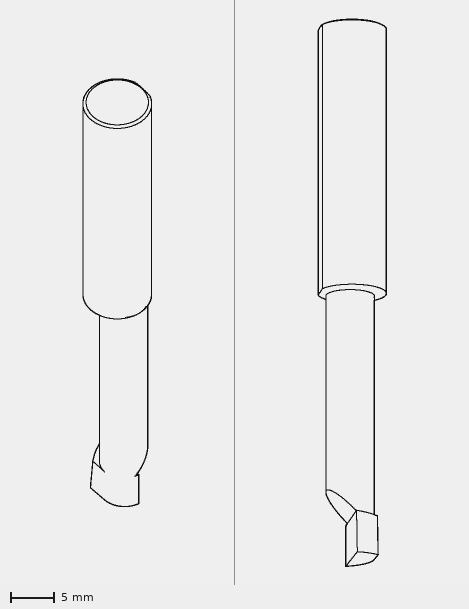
import cadquery as cq
import math

total_length = 63.5
shank_diameter = 7.9375
shank_length = total_length / 2
shank_flat_y = 3.71
chamfer_radial = 0.38
chamfer_axial = 0.2

neck_diameter = 5.6

rake_face_y = 0.0
ramp_zero_z = 5.58
ramp_angle = 45.0

head_height = 5.08
tip_x = -3.37
heel_x = -2.29
heel_y = -1.9
flat_start_x = -1.50
side_lean = 0.48
relief_bulge = 0.08

end_relief_x = 2.0
end_relief_y = 5.0

shank_radius = shank_diameter / 2
neck_radius = neck_diameter / 2
neck_center_x = shank_radius - neck_radius
shoulder_z = total_length - shank_length
cut_margin = 10.0


def make_shank():
    profile = [
        (0, shoulder_z),
        (shank_radius, shoulder_z),
        (shank_radius, total_length - chamfer_axial),
        (shank_radius - chamfer_radial, total_length),
        (0, total_length),
    ]
    bar = cq.Workplane("XZ").polyline(profile).close().revolve(360, (0, 0, 0), (0, 1, 0))
    beyond_flat = (
        cq.Workplane("XY")
        .workplane(offset=shoulder_z)
        .center(0, shank_flat_y)
        .rect(shank_diameter, cut_margin)
        .extrude(shank_length)
        .translate((0, cut_margin / 2, 0))
    )
    return bar.cut(beyond_flat)


def make_neck():
    bar = cq.Workplane("XY").center(neck_center_x, 0).circle(neck_radius).extrude(shoulder_z)
    ramp_slope = math.tan(math.radians(ramp_angle))
    ramp_end_y = rake_face_y - (ramp_zero_z - head_height) / ramp_slope
    ramp_top_z = ramp_zero_z + cut_margin * ramp_slope
    clearance = (
        cq.Workplane("YZ")
        .moveTo(rake_face_y, 0)
        .lineTo(rake_face_y, head_height)
        .lineTo(ramp_end_y, head_height)
        .lineTo(rake_face_y + cut_margin, ramp_top_z)
        .lineTo(rake_face_y + cut_margin, 0)
        .close()
        .extrude(cut_margin, both=True)
    )
    return bar.cut(clearance)


def head_outline(plane, lean):
    """Head section, shifted in X by lean except where it joins the neck."""
    chord_x = heel_x - tip_x
    chord_y = heel_y - rake_face_y
    chord = math.hypot(chord_x, chord_y)
    bow_x = (tip_x + heel_x) / 2 + relief_bulge * chord_y / chord
    bow_y = (rake_face_y + heel_y) / 2 - relief_bulge * chord_x / chord
    return (
        plane.moveTo(neck_center_x, rake_face_y)
        .lineTo(tip_x + lean, rake_face_y)
        .threePointArc((bow_x + lean, bow_y), (heel_x + lean, heel_y))
        .lineTo(flat_start_x + lean, -neck_radius)
        .lineTo(neck_center_x, -neck_radius)
        .close()
    )


def make_head():
    tip_section = head_outline(cq.Workplane("XY"), 0)
    sections = head_outline(tip_section.workplane(offset=head_height), side_lean)
    return sections.loft(ruled=True, combine=True)


def make_end_relief():
    """Block below the tip plane, which passes through the cutting corner."""
    slope_x = math.tan(math.radians(end_relief_x))
    slope_y = math.tan(math.radians(end_relief_y))
    plane = cq.Plane(
        origin=(tip_x, rake_face_y, 0),
        xDir=(1, 0, slope_x),
        normal=(-slope_x, slope_y, 1),
    )
    return cq.Workplane(plane).rect(2 * cut_margin, 2 * cut_margin).extrude(-cut_margin)


blade = make_neck().union(make_head()).cut(make_end_relief())
result = make_shank().union(blade)